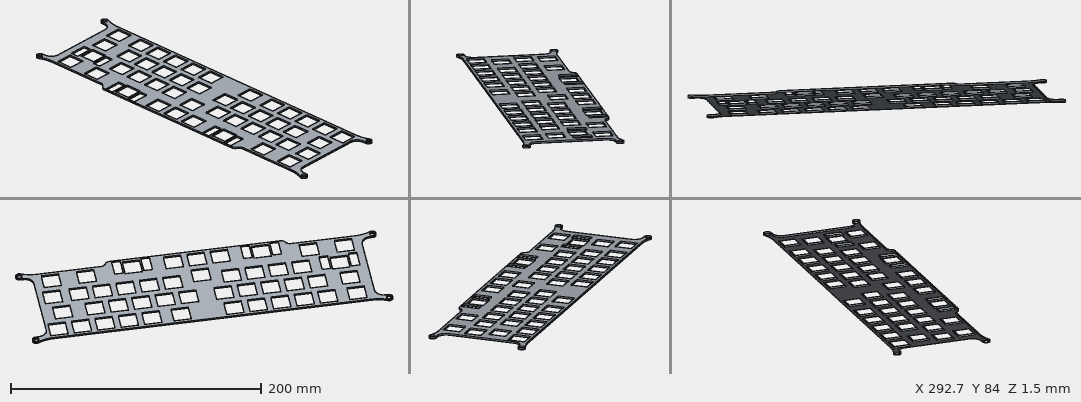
import cadquery as cq
import math

overall_length = 292.7
plate_length = 266.5
thickness = 1.5

columns = 14
rows = 4
pitch = plate_length / columns
plate_depth = rows * pitch
half_length = plate_length / 2
half_depth = plate_depth / 2

switch_size = 14.0
switch_corner_radius = 0.3

slot_spacing = 23.7
slot_width = 7.0
slot_length = 15.2
slot_drop = 1.58
slot_corner_radius = 1.0

hole_diameter = 4.0
ear_radius = 3.07
ear_x = overall_length / 2 - ear_radius
ear_y = half_depth
inner_fillet = 7.3
flare_start_x = 129.7

tab_drop = 0.25 * pitch
tab_end_run = 7.5
tab_end_x = 73.2

switch_rows = {
    1.5: [-6.25, -5, -4, -3, -2, -1, 1.25, 2.5, 3.5, 4.5, 5.5, 6.5],
    0.5: [-6.125, -4.75, -3.75, -2.75, -1.75, -0.75, 0.75, 1.75, 2.75, 3.75, 4.75, 6.125],
    -0.5: [-5.875, -4.25, -3.25, -2.25, -1.25, 1.25, 2.25, 3.25, 4.25, 5.25, 6.375],
    -0.75: [0],
    -1.5: [-6.25, -4.75, 4.75, 6.25],
    -1.75: [-2.75, -1, 0, 1, 2.75],
}
stabilized_keys = [(-5.875, -0.5), (-2.75, -1.75), (2.75, -1.75)]


def make_plate():
    """Rectangular plate with a tab on its front edge, each tab end an S of two equal arcs."""
    arc_radius = (tab_end_run**2 + tab_drop**2) / (4 * tab_drop)
    half_turn = math.atan2(tab_drop, tab_end_run)
    middle_run = arc_radius * math.sin(half_turn)
    middle_drop = arc_radius * (1 - math.cos(half_turn))
    top_half = tab_end_x + tab_end_run / 2
    bottom_half = tab_end_x - tab_end_run / 2
    bottom_y = -half_depth - tab_drop
    halfway = (tab_end_x, -half_depth - tab_drop / 2)
    upper_middle = (top_half - middle_run, -half_depth - middle_drop)
    lower_middle = (bottom_half + middle_run, bottom_y + middle_drop)

    right_half = (
        cq.Workplane("XY")
        .moveTo(0, bottom_y)
        .lineTo(bottom_half, bottom_y)
        .threePointArc(lower_middle, halfway)
        .threePointArc(upper_middle, (top_half, -half_depth))
        .lineTo(half_length, -half_depth)
        .lineTo(half_length, half_depth)
        .lineTo(0, half_depth)
        .close()
        .extrude(thickness)
    )
    return right_half.union(right_half.mirror("YZ"))


def make_ear():
    """Ear of the +X +Y corner: a round eye on an arm that flares into the plate."""
    run = ear_x - flare_start_x
    flare_radius = (run**2 - ear_radius**2) / (2 * ear_radius)
    flare_center_y = half_depth + flare_radius
    flare_angle = math.atan2(run, flare_radius)

    def flare_point(angle):
        return (
            flare_start_x + flare_radius * math.sin(angle),
            flare_center_y - flare_radius * math.cos(angle),
        )

    arm_bottom_y = ear_y - ear_radius
    fillet_x = half_length + inner_fillet
    fillet_y = arm_bottom_y - inner_fillet
    fillet_middle = (
        fillet_x - inner_fillet * math.cos(math.pi / 4),
        fillet_y + inner_fillet * math.sin(math.pi / 4),
    )
    arm = (
        cq.Workplane("XY")
        .moveTo(flare_start_x, half_depth)
        .threePointArc(flare_point(flare_angle / 2), flare_point(flare_angle))
        .lineTo(ear_x, ear_y)
        .lineTo(ear_x, arm_bottom_y)
        .lineTo(fillet_x, arm_bottom_y)
        .threePointArc(fillet_middle, (half_length, fillet_y))
        .lineTo(flare_start_x, fillet_y)
        .close()
        .extrude(thickness)
    )
    eye = cq.Workplane("XY").center(ear_x, ear_y).circle(ear_radius).extrude(thickness)
    return arm.union(eye)


def add_ears(body):
    """Mirror the ear to all four corners and drill the mounting holes."""
    ear = make_ear()
    ear_pair = ear.union(ear.mirror("YZ"))
    body = body.union(ear_pair).union(ear_pair.mirror("XZ"))
    holes = (
        cq.Workplane("XY")
        .rect(2 * ear_x, 2 * ear_y, forConstruction=True)
        .vertices()
        .circle(hole_diameter / 2)
        .extrude(thickness)
    )
    return body.cut(holes)


def make_switch_cutouts():
    """Square cutouts, one for each key."""
    centers = [(x * pitch, y * pitch) for y, places in switch_rows.items() for x in places]
    cutouts = cq.Workplane("XY").pushPoints(centers).rect(switch_size, switch_size).extrude(thickness)
    return cutouts.edges("|Z").fillet(switch_corner_radius)


def make_stabilizer_slots():
    """Pairs of rounded slots beside the wide keys, set slightly toward the front."""
    centers = [
        (x * pitch + side * slot_spacing / 2, y * pitch - slot_drop)
        for x, y in stabilized_keys
        for side in (-1, 1)
    ]
    slots = cq.Workplane("XY").pushPoints(centers).rect(slot_width, slot_length).extrude(thickness)
    return slots.edges("|Z").fillet(slot_corner_radius)


body = add_ears(make_plate())
result = body.cut(make_switch_cutouts()).cut(make_stabilizer_slots())